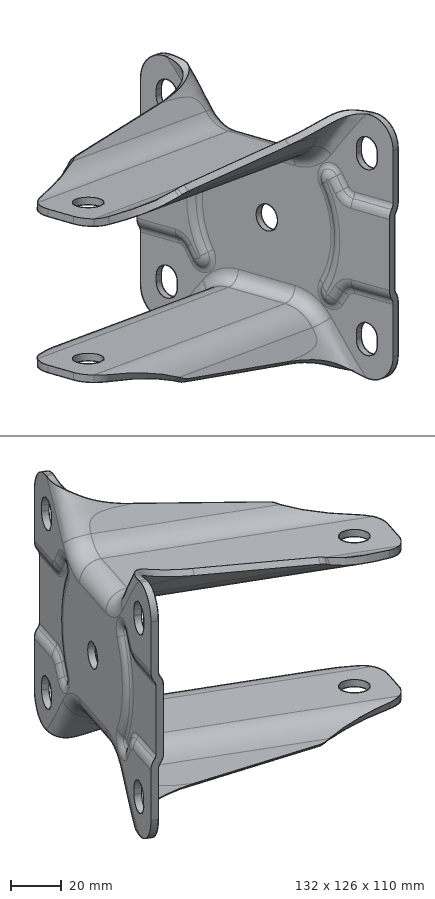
import cadquery as cq
import math


sheet = 3.2

plate_width = 132.0
plate_height = 110.0
plate_half_width = plate_width / 2
plate_half_height = plate_height / 2
plate_corner_radius = 12.0
ear_tip_x = 52.4
centre_hole_diameter = 11.1
slot_width = 11.0
slot_length = 13.6
slot_x = 52.3
slot_z = 38.7

brow_radius = 6.3
knee_radius = 4.2
step_angle = math.acos(0.8)
step_width = (brow_radius + knee_radius) * math.sin(step_angle)
step_height = (brow_radius + knee_radius) * (1 - math.cos(step_angle))
panel_half_height = 14.8
sweep_x = 46.0
sweep_radius = 10.2
horn_x = 33.7
horn_z = 23.5
horn_radius = 0.7
panel_arc_centre_x = -2.1

leg_length = 126.0
web_half_width = 14.8
web_z = 30.9
roll_radius = 18.5
wall_angle = math.radians(50.5)
bend_radius = 6.0
pin_hole_diameter = 12.4
pin_hole_y = -109.7
nose_radius = 12.5
nose_half_flat = 6.6
nose_slope = math.radians(70)
shoulder_y = -85.8
shoulder_radius = 11.9

foot_reaches = (0, 10.5, 23.0)
crest_reaches = (0, 7.3, 9.1, 9.5)
crest_depths = (0, 0, 2.6, 20.6)
edge_foot_handle = (39.0, 52.8)
edge_crest_reach = 13.0
edge_crest_y = -7.9

flare_steps = 20
flare_degree = 8
flare_tolerance = 0.0001
joint_tolerance = 0.001

wall_cos = math.cos(wall_angle)
wall_sin = math.sin(wall_angle)
bend_y = -(sheet + bend_radius)
roll_z = web_z + roll_radius
roll_centre = (web_half_width, roll_z)
roll_start = math.radians(-90)
wall_x = web_half_width + roll_radius * wall_sin
wall_z = roll_z - roll_radius * wall_cos
foot_radius = roll_radius + bend_radius
foot_x = web_half_width + foot_radius * wall_sin
foot_z = roll_z - foot_radius * wall_cos


def bezier(points, t):
    """Point at parameter t on the cubic with four control points."""
    weights = ((1 - t) ** 3, 3 * t * (1 - t) ** 2, 3 * t * t * (1 - t), t ** 3)
    return sum((p * w for p, w in zip(points, weights)), cq.Vector())


def wall_point(reach, y):
    """Point on the inner skin of the inclined wall, reach measured from the roll."""
    return cq.Vector(wall_x + reach * wall_cos, y, wall_z + reach * wall_sin)


def foot_point(reach):
    """Point where the straight foot of the wall flare leaves the plate."""
    return cq.Vector(foot_x + reach * wall_cos, -sheet, foot_z + reach * wall_sin)


ear_tip = cq.Vector(ear_tip_x, -sheet, plate_half_height)
foot_curve = [foot_point(reach) for reach in foot_reaches] + [ear_tip]
crest_curve = [wall_point(reach, bend_y - depth) for reach, depth in zip(crest_reaches, crest_depths)]
crest_end = crest_curve[-1]
wall_extent = 2 * crest_reaches[-1]

round_fullness = 4 / 3 * math.tan(math.radians(22.5))
corner = wall_point(0, -sheet)
foot_handle_start = foot_curve[0] + (corner - foot_curve[0]) * round_fullness
crest_handle_start = crest_curve[0] + (corner - crest_curve[0]) * round_fullness
foot_handle_end = cq.Vector(edge_foot_handle[0], -sheet, edge_foot_handle[1])
crest_handle_end = wall_point(edge_crest_reach, edge_crest_y)


def polar(centre, radius, angle):
    return (centre[0] + radius * math.cos(angle), centre[1] + radius * math.sin(angle))


def plan(vector):
    """X and Z of a 3D point."""
    return (vector.x, vector.z)


sweep_centre = (sweep_x, panel_half_height + sweep_radius)
horn_centre = (horn_x, horn_z)
arc_centre = (panel_arc_centre_x, 0.0)
horn_gap = math.hypot(horn_x - sweep_x, horn_z - sweep_centre[1])
horn_bearing = math.atan2(horn_z - sweep_centre[1], horn_x - sweep_x)
sweep_end = horn_bearing + math.acos((sweep_radius + horn_radius) / horn_gap)
horn_distance = math.hypot(horn_x - panel_arc_centre_x, horn_z)
panel_arc_radius = horn_distance - horn_radius
arc_bearing = math.atan2(horn_z, horn_x - panel_arc_centre_x)

sweep_start = math.radians(-90)
horn_start = sweep_end + math.pi
horn_end = arc_bearing + math.pi


def panel_outline(offset):
    """Quadrant of the panel outline, grown outwards by offset."""
    sweep = sweep_radius - offset
    horn = horn_radius + offset
    arc = panel_arc_radius - offset
    sweep_mid = (sweep_start + sweep_end) / 2
    horn_mid = (horn_start + horn_end) / 2
    return (
        cq.Workplane("XZ")
        .moveTo(plate_half_width, 0)
        .lineTo(plate_half_width, panel_half_height + offset)
        .lineTo(sweep_x, panel_half_height + offset)
        .threePointArc(polar(sweep_centre, sweep, sweep_mid), polar(sweep_centre, sweep, sweep_end))
        .lineTo(*polar(horn_centre, horn, horn_start))
        .threePointArc(polar(horn_centre, horn, horn_mid), polar(horn_centre, horn, horn_end))
        .threePointArc(polar(arc_centre, arc, arc_bearing / 2), polar(arc_centre, arc, 0))
        .close()
    )


def step_profile(plane, start, outward):
    """S-shaped section of the step; outward is +1 or -1 along the plane's local x."""
    def place(point):
        return (start + outward * point[0], point[1])

    brow_centre = (0, brow_radius - sheet - step_height)
    knee_centre = (step_width, -sheet - knee_radius)
    back_brow_radius = brow_radius - sheet
    back_knee_radius = knee_radius + sheet
    brow_start = math.radians(-90)
    brow_half = brow_start + step_angle / 2
    brow_end = brow_start + step_angle
    knee_start = math.radians(90)
    knee_half = knee_start + step_angle / 2
    front_top = (0, -sheet - step_height)
    front_base = (step_width, -sheet)
    return (
        cq.Workplane(plane)
        .moveTo(*place(front_top))
        .threePointArc(
            place(polar(brow_centre, brow_radius, brow_half)),
            place(polar(brow_centre, brow_radius, brow_end)),
        )
        .threePointArc(place(polar(knee_centre, knee_radius, knee_half)), place(front_base))
        .lineTo(*place((step_width, 0)))
        .threePointArc(
            place(polar(knee_centre, back_knee_radius, knee_half)),
            place(polar(brow_centre, back_brow_radius, brow_end)),
        )
        .threePointArc(place(polar(brow_centre, back_brow_radius, brow_half)), place((0, -step_height)))
        .close()
    )


def plane_at(point, bearing):
    """Plane through an XZ point; local x runs along the bearing, local y along +Y."""
    origin = (point[0], 0, point[1])
    along = cq.Vector(math.cos(bearing), 0, math.sin(bearing))
    return cq.Plane(origin=origin, xDir=along, normal=along.cross(cq.Vector(0, 1, 0)))


def straight_step(start, bearing, length):
    """Straight stretch of step whose outward side lies along the bearing."""
    return step_profile(plane_at(start, bearing), 0, 1).extrude(length)


def curved_step(centre, radius, outward, from_bearing, to_bearing):
    """Step swept around a centre between two bearings."""
    profile = step_profile(plane_at(centre, to_bearing), radius, outward)
    return profile.revolve(math.degrees(to_bearing - from_bearing), (0, 0), (0, 1))


def plate_blank():
    """Flat quadrant of the plate, ending where the leg bend and its flare start."""
    corner_centre = (plate_half_width - plate_corner_radius, plate_half_height - plate_corner_radius)
    return (
        cq.Workplane("XZ")
        .lineTo(plate_half_width, 0)
        .lineTo(plate_half_width, corner_centre[1])
        .threePointArc(
            polar(corner_centre, plate_corner_radius, math.radians(45)),
            (corner_centre[0], plate_half_height),
        )
        .lineTo(ear_tip_x, plate_half_height)
        .bezier([plan(point) for point in reversed(foot_curve)])
        .threePointArc(
            polar(roll_centre, foot_radius, roll_start + wall_angle / 2),
            (web_half_width, roll_z - foot_radius),
        )
        .lineTo(0, roll_z - foot_radius)
        .close()
        .extrude(sheet)
    )


def base_plate():
    """Plate quadrant with its raised side panel."""
    plate = plate_blank().cut(panel_outline(step_width).extrude(sheet))
    panel = panel_outline(0).extrude(sheet).translate((0, -step_height, 0))
    sweep_edge = polar(sweep_centre, sweep_radius, sweep_end)
    horn_edge = polar(horn_centre, horn_radius, horn_start)
    parts = (
        panel,
        straight_step((plate_half_width, panel_half_height), math.radians(90), plate_half_width - sweep_x),
        curved_step(sweep_centre, sweep_radius, -1, sweep_end, sweep_start),
        straight_step(sweep_edge, horn_start, math.dist(sweep_edge, horn_edge)),
        curved_step(horn_centre, horn_radius, 1, horn_start, horn_end),
        curved_step(arc_centre, panel_arc_radius, -1, 0, arc_bearing),
    )
    for part in parts:
        plate = plate.union(part, tol=joint_tolerance)
    return plate


def bend_profile(bearing, x):
    """Quarter-round bend section at x, on a plane through the roll height along the bearing."""
    centre = (foot_radius, bend_y)
    middle = math.radians(135)
    return (
        cq.Workplane(plane_at((x, roll_z), bearing))
        .moveTo(foot_radius, -sheet)
        .threePointArc(polar(centre, bend_radius, middle), (roll_radius, bend_y))
        .lineTo(roll_radius - sheet, bend_y)
        .threePointArc(polar(centre, bend_radius + sheet, middle), (foot_radius, 0))
        .close()
    )


def thickened(face):
    """Sheet standing on the outer side of an inner-skin face."""
    outward = face.normalAt().dot(cq.Vector(-1, 1, 1))
    return cq.Workplane(face.thicken(math.copysign(sheet, outward)))


def leg_outline():
    """Prism through the leg, cutting the inner skin to its developed edge."""
    nose_centre = (nose_half_flat, nose_radius - leg_length)
    nose_end = nose_slope - math.radians(90)
    nose_edge = polar(nose_centre, nose_radius, nose_end)
    shoulder_x = nose_edge[0] + (shoulder_y - nose_edge[1]) / math.tan(nose_slope)
    prism = (
        cq.Workplane("XY")
        .moveTo(0, bend_y)
        .lineTo(0, -leg_length)
        .lineTo(nose_half_flat, -leg_length)
        .threePointArc(polar(nose_centre, nose_radius, (nose_end - math.radians(90)) / 2), nose_edge)
        .lineTo(shoulder_x, shoulder_y)
        .lineTo(crest_end.x, crest_end.y)
        .bezier([(point.x, point.y) for point in reversed(crest_curve)])
        .close()
        .extrude(plate_half_height)
    )
    shoulder = cq.selectors.NearestToPointSelector((shoulder_x, shoulder_y, plate_half_height / 2))
    return prism.edges(shoulder).fillet(shoulder_radius).val()


def leg_blade():
    """Flat web, rolled side and inclined wall of the leg."""
    web_edge = cq.Vector(web_half_width, 0, web_z)
    roll_middle = polar(roll_centre, roll_radius, roll_start + wall_angle / 2)
    edges = (
        cq.Edge.makeLine(cq.Vector(0, 0, web_z), web_edge),
        cq.Edge.makeThreePointArc(web_edge, cq.Vector(roll_middle[0], 0, roll_middle[1]), wall_point(0, 0)),
        cq.Edge.makeLine(wall_point(0, 0), wall_point(wall_extent, 0)),
    )
    outline = leg_outline()
    run = cq.Vector(0, -2 * leg_length, 0)
    blade = cq.Workplane()
    for edge in edges:
        skin = cq.occ_impl.shapes.extrude(edge, run)
        for face in skin.intersect(outline).Faces():
            blade = blade.union(thickened(face), tol=joint_tolerance)
    return blade


def flare_point(along, across):
    """Inner skin of the flare: along runs bend to free edge, across runs plate to wall."""
    foot_handle = foot_handle_start + (foot_handle_end - foot_handle_start) * along
    crest_handle = crest_handle_start + (crest_handle_end - crest_handle_start) * along
    section = (bezier(foot_curve, along), foot_handle, crest_handle, bezier(crest_curve, along))
    return bezier(section, across)


def flare_outer_point(along, across):
    """Outer skin of the flare, one sheet thickness off the inner skin."""
    step = 0.001

    def slope(u_step, v_step):
        ahead = flare_point(along + u_step, across + v_step)
        return ahead - flare_point(along - u_step, across - v_step)

    normal = slope(0, step).cross(slope(step, 0)).normalized()
    return flare_point(along, across) + normal * sheet


def flare():
    """Saddle-shaped sheet blending the plate ear into the wall."""
    params = [i / flare_steps for i in range(flare_steps + 1)]
    skins = []
    for point in (flare_point, flare_outer_point):
        grid = [[point(along, across) for across in params] for along in params]
        skins.append(cq.Face.makeSplineApprox(grid, tol=flare_tolerance, maxDeg=flare_degree))
    faces = list(skins)
    for along, across in ((0, 0.5), (1, 0.5), (0.5, 0), (0.5, 1)):
        rims = []
        for skin, point in zip(skins, (flare_point, flare_outer_point)):
            target = point(along, across)
            rims.append(min(skin.Edges(), key=lambda edge: (edge.positionAt(0.5) - target).Length))
        faces.append(cq.Face.makeRuledSurface(*rims))
    return cq.Workplane(cq.Solid.makeSolid(cq.Shell.makeShell(faces)))


def leg():
    """Half leg: blade, bend at its root and flare into the plate ear."""
    root = bend_profile(roll_start, 0).extrude(web_half_width)
    root_corner = bend_profile(roll_start + wall_angle, web_half_width).revolve(
        math.degrees(wall_angle), (0, 0), (0, 1)
    )
    half = leg_blade()
    for part in (root, root_corner, flare()):
        half = half.union(part, tol=joint_tolerance)
    return half


quadrant = base_plate().union(leg(), tol=joint_tolerance)
half = quadrant.union(quadrant.mirror("YZ"), tol=joint_tolerance)
bracket = half.union(half.mirror("XY"), tol=joint_tolerance)

centre_hole = cq.Workplane("XZ").circle(centre_hole_diameter / 2).extrude(leg_length)
mounting_slots = (
    cq.Workplane("XZ")
    .rarray(2 * slot_x, 2 * slot_z, 2, 2)
    .slot2D(slot_length, slot_width, 90)
    .extrude(sheet)
)
pin_holes = (
    cq.Workplane("XY")
    .center(0, pin_hole_y)
    .circle(pin_hole_diameter / 2)
    .extrude(plate_half_height, both=True)
)
result = bracket.cut(centre_hole).cut(mounting_slots).cut(pin_holes)